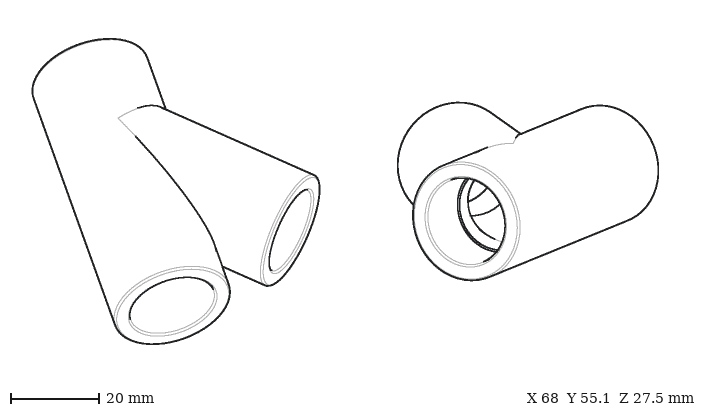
import cadquery as cq

run_length = 68.0
outer_diameter = 27.5
bore_diameter = 19.0
socket_diameter = 20.0
socket_depth = 14.95
rim_radius = 0.5
junction_x = 23.0
branch_angle = 45.0
branch_length = run_length - junction_x


def arm(length, angle):
    """Outer body of an arm from the junction, with its mouth rim rounded."""
    body = cq.Workplane("YZ").circle(outer_diameter / 2).extrude(length)
    return place(body.faces(">X").edges().fillet(rim_radius), angle)


def arm_cavity(length, angle):
    """Bore, pipe socket and rounded socket lead-in of an arm."""
    mouth_radius = socket_diameter / 2 + rim_radius
    cavity = (
        cq.Workplane("XY")
        .moveTo(0, 0)
        .lineTo(0, bore_diameter / 2)
        .lineTo(length - socket_depth, bore_diameter / 2)
        .lineTo(length - socket_depth, socket_diameter / 2)
        .lineTo(length - rim_radius, socket_diameter / 2)
        .radiusArc((length, mouth_radius), -rim_radius)
        .lineTo(length, 0)
        .close()
        .revolve(360, (0, 0, 0), (1, 0, 0))
    )
    return place(cavity, angle)


def place(shape, angle):
    """Turn an arm about Z and move its start to the junction."""
    return shape.rotate((0, 0, 0), (0, 0, 1), angle).translate((junction_x, 0, 0))


arms = [
    (run_length - junction_x, 0),
    (junction_x, 180),
    (branch_length, branch_angle),
]

result = arm(*arms[0])
for length, angle in arms[1:]:
    result = result.union(arm(length, angle))
result = result.clean()

for length, angle in arms:
    result = result.cut(arm_cavity(length, angle))